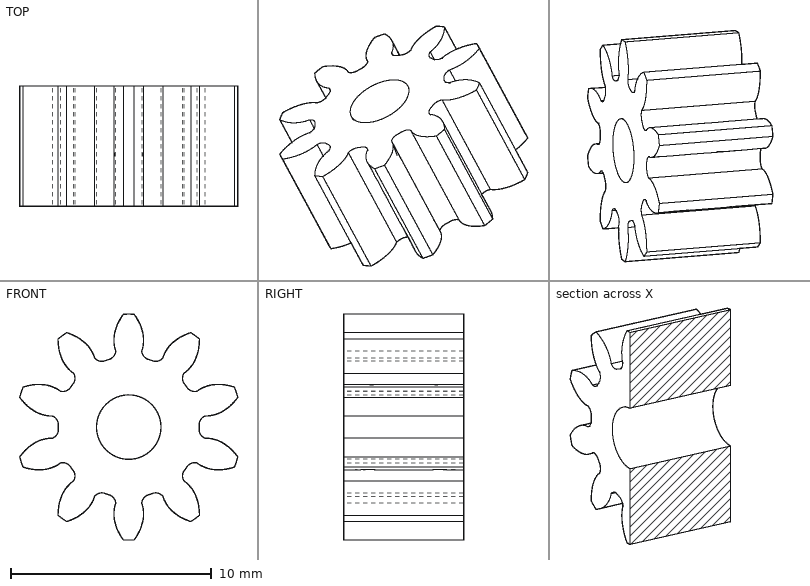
import cadquery as cq
import math

TOOTH_COUNT = 10
FACE_WIDTH = 6.0
TIP_RADIUS = 5.64
ROOT_RADIUS = 3.52
BORE_DIAMETER = 3.2

TIP_HALF_WIDTH = 0.27
FLANK_UPPER = (0.6, 5.05)
FLANK_WIDEST = (0.74, 4.4)
FLANK_FOOT = (0.65, 3.79)
FILLET_MIDDLE = (0.75, 3.53)
ROOT_LAND_ANGLE = 5.0

PITCH_ANGLE = 360 / TOOTH_COUNT
HALF_GAP_ANGLE = PITCH_ANGLE / 2


def polar(radius, angle):
    """Point at a clockwise angle in degrees from +Z."""
    radians = math.radians(angle)
    return radius * math.sin(radians), radius * math.cos(radians)


def turn(point, angle):
    """Rotate a point clockwise about the gear axis."""
    x, z = point
    radians = math.radians(angle)
    cosine = math.cos(radians)
    sine = math.sin(radians)
    return x * cosine + z * sine, z * cosine - x * sine


def mirror(point):
    """Reflect a point across the tooth centre line."""
    return -point[0], point[1]


def add_tooth(outline, angle):
    """Draw one tooth and the root land after it, starting at its left fillet."""
    def place(point):
        return turn(point, angle)

    tip_corner = (TIP_HALF_WIDTH, math.sqrt(TIP_RADIUS**2 - TIP_HALF_WIDTH**2))
    flank = [tip_corner, FLANK_UPPER, FLANK_WIDEST, FLANK_FOOT]
    rising_flank = [place(mirror(point)) for point in reversed(flank)]
    falling_flank = [place(point) for point in flank]
    fillet_end = polar(ROOT_RADIUS, HALF_GAP_ANGLE - ROOT_LAND_ANGLE / 2)
    land_middle = polar(ROOT_RADIUS, HALF_GAP_ANGLE)
    land_end = polar(ROOT_RADIUS, HALF_GAP_ANGLE + ROOT_LAND_ANGLE / 2)

    return (
        outline
        .threePointArc(place(mirror(FILLET_MIDDLE)), rising_flank[0])
        .spline(rising_flank[1:], includeCurrent=True)
        .threePointArc(place((0, TIP_RADIUS)), falling_flank[0])
        .spline(falling_flank[1:], includeCurrent=True)
        .threePointArc(place(FILLET_MIDDLE), place(fillet_end))
        .threePointArc(place(land_middle), place(land_end))
    )


first_point = polar(ROOT_RADIUS, ROOT_LAND_ANGLE / 2 - HALF_GAP_ANGLE)
outline = cq.Workplane("XZ").moveTo(*first_point)
for index in range(TOOTH_COUNT):
    outline = add_tooth(outline, index * PITCH_ANGLE)
gear = outline.close().extrude(FACE_WIDTH)

bore = cq.Workplane("XZ").circle(BORE_DIAMETER / 2).extrude(FACE_WIDTH)
result = gear.cut(bore)